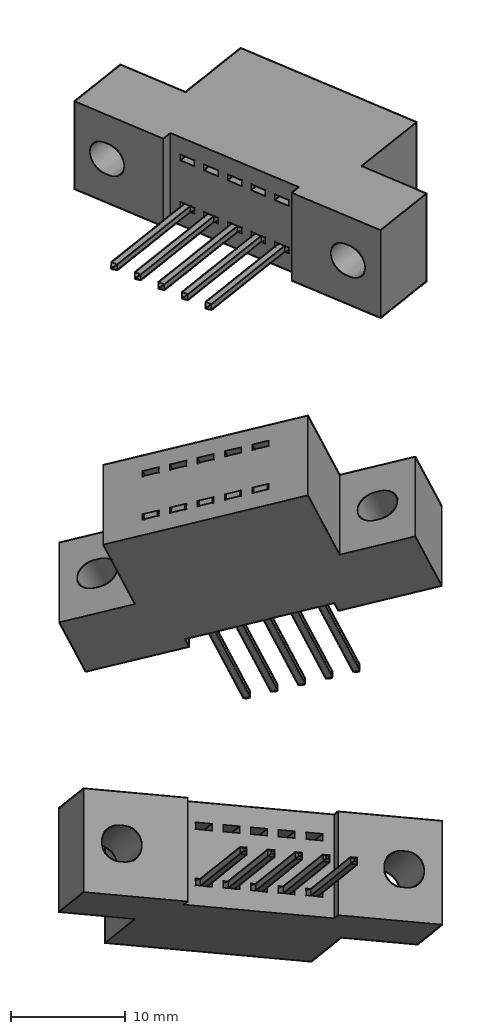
import cadquery as cq


LENGTH = 33.02
HEIGHT = 9.4
OVERALL_DEPTH = 25.15
HOUSING_DEPTH = 15.02
FLANGE_DEPTH = 6.85
BLOCK_WIDTH = 19.0
RECESS_WIDTH = 13.85
RECESS_DEPTH = 1.05

MOUNT_SPACING = 26.0
MOUNT_WIDTH = 3.7
MOUNT_HEIGHT = 3.3

PIN_COUNT = 5
PITCH = 2.55
ROW_SPACING = 2 * PITCH
SLOT_WIDTH = 1.52
SLOT_HEIGHT = 0.63

PIN_SIZE = SLOT_HEIGHT
BLADE_WIDTH = 1.25
SHOULDER_LENGTH = 0.73
TIP_LENGTH = 0.33
TIP_SIZE = 0.23

LOWER_ROW_Z = -ROW_SPACING / 2
UPPER_ROW_Z = ROW_SPACING / 2
PIN_TIP_Y = HOUSING_DEPTH - OVERALL_DEPTH
PIN_XS = [(i - (PIN_COUNT - 1) / 2) * PITCH for i in range(PIN_COUNT)]


def cut_along_y(outline):
    """Extrude an outline on the XZ plane from Y = 0 through the whole housing."""
    return outline.extrude(-HOUSING_DEPTH)


def make_housing():
    block = cq.Workplane("XY").box(BLOCK_WIDTH, HOUSING_DEPTH, HEIGHT, centered=(True, False, True))
    flange = cq.Workplane("XY").box(LENGTH, FLANGE_DEPTH, HEIGHT, centered=(True, False, True))
    recess = cq.Workplane("XY").box(RECESS_WIDTH, RECESS_DEPTH, HEIGHT, centered=(True, False, True))

    mount_points = [(-MOUNT_SPACING / 2, 0), (MOUNT_SPACING / 2, 0)]
    mount_holes = cut_along_y(
        cq.Workplane("XZ").pushPoints(mount_points).slot2D(MOUNT_WIDTH, MOUNT_HEIGHT)
    )

    slot_points = [(x, z) for x in PIN_XS for z in (LOWER_ROW_Z, UPPER_ROW_Z)]
    contact_slots = cut_along_y(
        cq.Workplane("XZ").pushPoints(slot_points).rect(SLOT_WIDTH, SLOT_HEIGHT)
    )

    return block.union(flange).cut(recess).cut(mount_holes).cut(contact_slots)


def make_pin(x):
    half_tail = PIN_SIZE / 2
    half_blade = BLADE_WIDTH / 2
    tail_start = PIN_TIP_Y + TIP_LENGTH
    shoulder_back = RECESS_DEPTH + SHOULDER_LENGTH

    body = (
        cq.Workplane("XY", origin=(x, 0, LOWER_ROW_Z - half_tail))
        .moveTo(-half_tail, tail_start)
        .lineTo(half_tail, tail_start)
        .lineTo(half_tail, RECESS_DEPTH)
        .lineTo(half_blade, shoulder_back)
        .lineTo(half_blade, HOUSING_DEPTH)
        .lineTo(-half_blade, HOUSING_DEPTH)
        .lineTo(-half_blade, shoulder_back)
        .lineTo(-half_tail, RECESS_DEPTH)
        .close()
        .extrude(PIN_SIZE)
    )
    tip = (
        cq.Workplane("XZ", origin=(x, tail_start, LOWER_ROW_Z))
        .rect(PIN_SIZE, PIN_SIZE)
        .workplane(offset=TIP_LENGTH)
        .rect(TIP_SIZE, TIP_SIZE)
        .loft(ruled=True)
    )
    return body.union(tip)


housing = make_housing()
pins = [make_pin(x) for x in PIN_XS]

result = cq.Compound.makeCompound([housing.val(), *[pin.val() for pin in pins]])